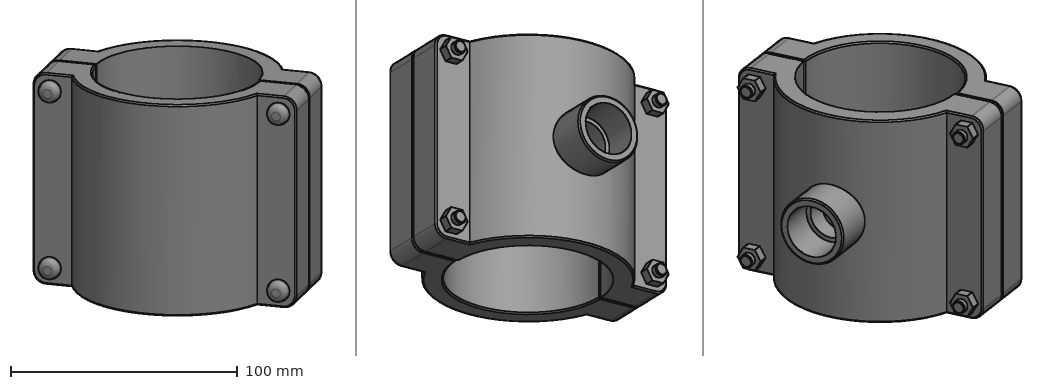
import cadquery as cq
import math

width = 122.0
height = 98.0
ring_radius = 47.0
bore_radius = 37.6
flange_thickness = 18.8
corner_radius = 6.0
edge_chamfer = 0.7

spigot_diameter = 31.4
spigot_end = 64.9
socket_diameter = 24.2
passage_diameter = 20.0

bolt_x = 53.0
bolt_z = 41.0
shank_diameter = 6.0
shank_end = 26.6
shank_chamfer = 0.5
nut_flats = 10.0
nut_height = 4.8
head_diameter = 10.0
head_rim = 1.1
head_height = 4.4
head_flat_diameter = 4.1
head_rounding = 3.2

TOLERANCE = 0.01


def cylinder_along_y(diameter, start, end):
    """Cylinder on the Y axis between two Y positions."""
    plane = cq.Workplane("XZ", origin=(0, start, 0))
    return plane.circle(diameter / 2).extrude(start - end)


def takes_chamfer(edge, side, chamfered_bore):
    """Tell whether an edge of the half on the given side of Y = 0 is broken by a chamfer."""
    box = edge.BoundingBox()
    on_seam = abs(box.ymin) < TOLERANCE and abs(box.ymax) < TOLERANCE
    if on_seam:
        return True
    face_y = side * flange_thickness
    on_flange_face = abs(box.ymin - face_y) < TOLERANCE and abs(box.ymax - face_y) < TOLERANCE
    if on_flange_face:
        root_x = math.sqrt(ring_radius**2 - flange_thickness**2)
        return max(abs(box.xmin), abs(box.xmax)) > root_x + TOLERANCE
    on_end = box.zlen < TOLERANCE and abs(abs(box.zmax) - height / 2) < TOLERANCE
    if on_end and edge.geomType() == "CIRCLE":
        is_bore_edge = abs(edge.radius() - bore_radius) < TOLERANCE
        return chamfered_bore or not is_bore_edge
    return False


def clamp_half(side, chamfered_bore):
    """Half ring with a flange at each end, on the side of Y = 0 given by +1 or -1."""
    ring = cq.Workplane("XY").circle(ring_radius).extrude(height / 2, both=True)
    flanges = cq.Workplane("XY").box(width, 2 * flange_thickness, height)
    flanges = flanges.edges("|Y").fillet(corner_radius)
    bore = cq.Workplane("XY").circle(bore_radius).extrude(height / 2, both=True)
    half_space = cq.Workplane("XY").box(2 * width, width, 2 * height).translate((0, side * width / 2, 0))
    half = ring.union(flanges).cut(bore).intersect(half_space)
    edges = [edge for edge in half.edges().vals() if takes_chamfer(edge, side, chamfered_bore)]
    return half.newObject(edges).chamfer(edge_chamfer)


def add_spigot(body):
    """Join the spigot to the ring and open its socket and passage into the bore."""
    spigot = cylinder_along_y(spigot_diameter, (bore_radius + ring_radius) / 2, spigot_end)
    spigot = spigot.faces(">Y").edges().chamfer(edge_chamfer)
    socket = cylinder_along_y(socket_diameter, ring_radius, spigot_end)
    passage = cylinder_along_y(passage_diameter, 0, spigot_end)
    return body.union(spigot).cut(socket).cut(passage)


def bolt_with_nut():
    """Rounded bolt head on the -Y flange face, shank through both flanges and a hexagon nut."""
    shank = cylinder_along_y(shank_diameter, -flange_thickness, shank_end)
    shank = shank.faces(">Y").edges().chamfer(shank_chamfer)

    nut_plane = cq.Workplane("XZ", origin=(0, flange_thickness, 0))
    nut_corners = nut_flats / math.cos(math.pi / 6)
    nut = nut_plane.polygon(6, nut_corners).extrude(-nut_height)

    head_profile = (
        cq.Workplane("XY", origin=(0, -flange_thickness, 0))
        .lineTo(head_diameter / 2, 0)
        .lineTo(head_diameter / 2, -head_rim)
        .radiusArc((head_flat_diameter / 2, -head_height), head_rounding)
        .lineTo(0, -head_height)
        .close()
    )
    head = head_profile.revolve(360, (0, 0, 0), (0, 1, 0))
    return shank.union(nut).union(head)


result = clamp_half(-1, True).union(clamp_half(1, False))
result = add_spigot(result)
for x in (-bolt_x, bolt_x):
    for z in (-bolt_z, bolt_z):
        result = result.union(bolt_with_nut().translate((x, 0, z)))